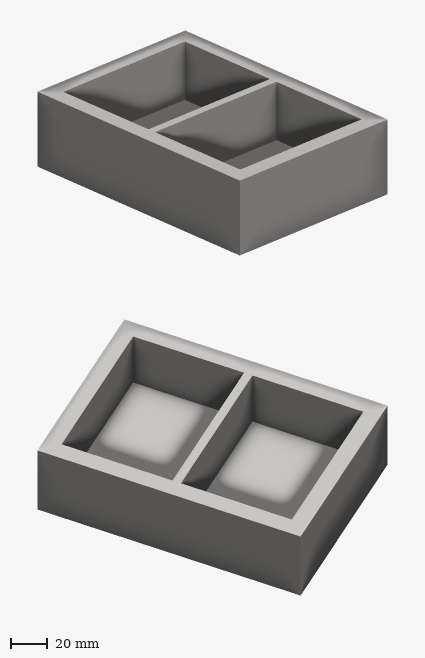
import cadquery as cq

length = 158.0
width = 112.0
height = 45.0

outer_wall = 10.0
divider = 5.0
floor = 10.0

pocket_length = (length - 2 * outer_wall - divider) / 2
pocket_width = width - 2 * outer_wall
pocket_depth = height - floor
pocket_offset = (pocket_length + divider) / 2

block = cq.Workplane("XY").box(length, width, height, centered=(True, True, False))

result = (
    block.faces(">Z")
    .workplane()
    .pushPoints([(-pocket_offset, 0), (pocket_offset, 0)])
    .rect(pocket_length, pocket_width)
    .cutBlind(-pocket_depth)
)